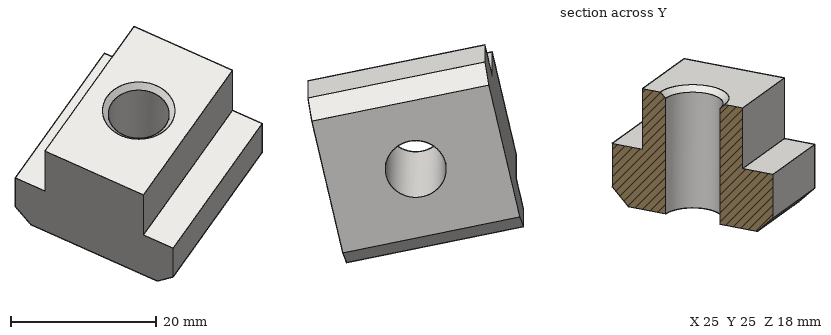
import cadquery as cq

width = 25.0
length = 25.0
height = 18.0

flange_height = height / 2
stem_width = 15.6
bottom_chamfer = 2.5

hole_diameter = 8.4
countersink_diameter = 10.0
countersink_angle = 90.0


def t_slot_body():
    """T-section extruded along Y, centred in X and Y, resting on Z = 0."""
    half_width = width / 2
    half_stem = stem_width / 2
    right_half = [
        (half_width - bottom_chamfer, 0),
        (half_width, bottom_chamfer),
        (half_width, flange_height),
        (half_stem, flange_height),
        (half_stem, height),
    ]
    left_half = [(-x, z) for x, z in reversed(right_half)]
    section = cq.Workplane("XZ").polyline(right_half + left_half).close()
    return section.extrude(length / 2, both=True)


result = (
    t_slot_body()
    .faces(">Z")
    .workplane(centerOption="CenterOfBoundBox")
    .cskHole(hole_diameter, countersink_diameter, countersink_angle)
)